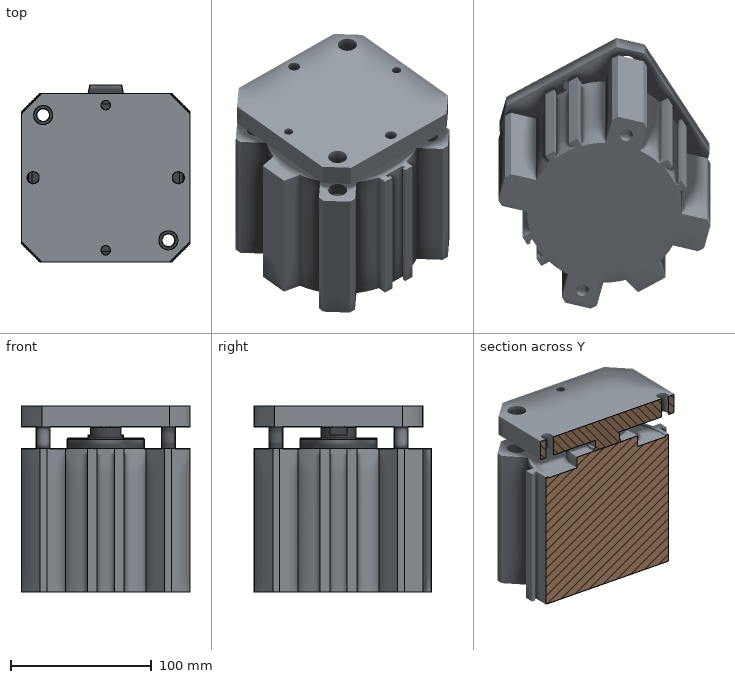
import cadquery as cq

WIDTH = 120.0
HALF = WIDTH / 2
HOUSING_HEIGHT = 102.0
TOTAL_HEIGHT = 132.5
PLATE_THICKNESS = 15.0
PLATE_BOTTOM = TOTAL_HEIGHT - PLATE_THICKNESS

BARREL_RADIUS = 55.0
CORNER_BAR_WIDTH = 25.7
HOUSING_CHAMFER = 13.2
RAIL_WIDTH = 26.2
SLOT_OPENING = 12.3
SLOT_WIDTH = 16.2
LIP_THICKNESS = 2.5
RIDGE_TOP_WIDTH = 22.5
RIDGE_EDGE_WIDTH = 25.0
RIDGE_HEIGHT = 6.0
RIDGE_BASE = 50.4

RECESS_DIAMETER = 105.0
RECESS_DEPTH = 1.0
COLLAR_DIAMETER = 55.0
COLLAR_HEIGHT = 7.5
COLLAR_CHAMFER_HEIGHT = 1.2
COLLAR_CHAMFER_INSET = 0.5
COLLAR_TOP = HOUSING_HEIGHT + COLLAR_HEIGHT

CORNER_OFFSET = 44.5
SCREW_DIAMETER = 9.0
SCREW_HEAD_DIAMETER = 13.5
SCREW_HEAD_DEPTH = 9.0
PIN_DIAMETER = 10.0
SCREW_POINTS = [(-CORNER_OFFSET, CORNER_OFFSET), (CORNER_OFFSET, -CORNER_OFFSET)]
PIN_POINTS = [(-CORNER_OFFSET, -CORNER_OFFSET), (CORNER_OFFSET, CORNER_OFFSET)]

PLATE_CHAMFER = 14.6
SIDE_HOLE_OFFSET = 51.5
X_HOLE_DIAMETER = 8.5
Y_HOLE_DIAMETER = 6.6
ROD_DIAMETER = 25.0
ROD_FLATS_WIDTH = 22.0
ROD_FLATS_HEIGHT = 5.8
ROD_CHAMFER = 0.5


def cylinder(diameter, bottom, height, points=((0, 0),)):
    return cq.Workplane("XY", origin=(0, 0, bottom)).pushPoints(points).circle(diameter / 2).extrude(height)


def chamfered_square(chamfer, bottom, height):
    block = cq.Workplane("XY", origin=(0, 0, bottom)).rect(WIDTH, WIDTH).extrude(height)
    return block.edges("|Z").chamfer(chamfer)


def rail_block(width, inner_y, outer_y):
    """Full-height block, centred on X, between two distances along +Y."""
    block = cq.Workplane("XY", origin=(0, inner_y, 0)).rect(width, outer_y - inner_y, centered=(True, False))
    return block.extrude(HOUSING_HEIGHT)


def slotted_rail(angle):
    """Rail with a T-slot on the +Y side, turned by an angle about the axis.

    The flat slot floor touches the barrel circle.
    """
    rail = rail_block(RAIL_WIDTH, 0, HALF)
    rail = rail.cut(rail_block(SLOT_OPENING, BARREL_RADIUS, HALF))
    rail = rail.cut(rail_block(SLOT_WIDTH, BARREL_RADIUS, HALF - LIP_THICKNESS))
    return rail.rotate((0, 0, 0), (0, 0, 1), angle)


def ridge():
    """Tapered ridge on the +Y side, with sides that run straight down to the barrel."""
    taper = (RIDGE_EDGE_WIDTH - RIDGE_TOP_WIDTH) / RIDGE_HEIGHT
    base_width = RIDGE_EDGE_WIDTH + taper * (HALF - RIDGE_BASE)
    return (
        cq.Workplane("XY")
        .polyline(
            [
                (-base_width / 2, RIDGE_BASE),
                (base_width / 2, RIDGE_BASE),
                (RIDGE_TOP_WIDTH / 2, HALF + RIDGE_HEIGHT),
                (-RIDGE_TOP_WIDTH / 2, HALF + RIDGE_HEIGHT),
            ]
        )
        .close()
        .extrude(HOUSING_HEIGHT)
    )


def make_collar(bottom):
    """Rod collar with a steep chamfer around its top."""
    radius = COLLAR_DIAMETER / 2
    outline = [
        (0, bottom),
        (radius, bottom),
        (radius, COLLAR_TOP - COLLAR_CHAMFER_HEIGHT),
        (radius - COLLAR_CHAMFER_INSET, COLLAR_TOP),
        (0, COLLAR_TOP),
    ]
    return cq.Workplane("XZ").polyline(outline).close().revolve()


def make_housing():
    bar_length = 2 * WIDTH
    bars = cq.Workplane("XY").rect(bar_length, CORNER_BAR_WIDTH).extrude(HOUSING_HEIGHT)
    bars = bars.union(bars.rotate((0, 0, 0), (0, 0, 1), 90)).rotate((0, 0, 0), (0, 0, 1), 45)
    body = bars.intersect(chamfered_square(HOUSING_CHAMFER, 0, HOUSING_HEIGHT))

    body = body.union(cylinder(2 * BARREL_RADIUS, 0, HOUSING_HEIGHT))
    for angle in (90, 180, 270):
        body = body.union(slotted_rail(angle))
    body = body.union(ridge())

    recess_floor = HOUSING_HEIGHT - RECESS_DEPTH
    body = body.cut(cylinder(RECESS_DIAMETER, recess_floor, RECESS_DEPTH))
    body = body.union(make_collar(recess_floor))

    body = body.cut(cylinder(SCREW_DIAMETER, 0, HOUSING_HEIGHT, SCREW_POINTS))
    head_floor = HOUSING_HEIGHT - SCREW_HEAD_DEPTH
    return body.cut(cylinder(SCREW_HEAD_DIAMETER, head_floor, SCREW_HEAD_DEPTH, SCREW_POINTS))


def make_rod():
    """Rod from the collar up to the plate, with two wrench flats facing -X and +X."""
    rod = cylinder(ROD_DIAMETER, COLLAR_TOP, PLATE_BOTTOM - COLLAR_TOP).faces(">Z").chamfer(ROD_CHAMFER)
    side_centres = [(-ROD_FLATS_WIDTH, 0), (ROD_FLATS_WIDTH, 0)]
    cutters = (
        cq.Workplane("XY", origin=(0, 0, PLATE_BOTTOM - ROD_FLATS_HEIGHT))
        .pushPoints(side_centres)
        .rect(ROD_FLATS_WIDTH, ROD_DIAMETER)
        .extrude(ROD_FLATS_HEIGHT)
    )
    return rod.cut(cutters)


def make_moving_plate():
    """Plate with its rod, which rests on the collar, and guide pins, which rest on the housing."""
    plate = chamfered_square(PLATE_CHAMFER, PLATE_BOTTOM, PLATE_THICKNESS)
    x_points = [(-SIDE_HOLE_OFFSET, 0), (SIDE_HOLE_OFFSET, 0)]
    y_points = [(0, -SIDE_HOLE_OFFSET), (0, SIDE_HOLE_OFFSET)]
    for diameter, points in (
        (X_HOLE_DIAMETER, x_points),
        (Y_HOLE_DIAMETER, y_points),
        (SCREW_HEAD_DIAMETER, SCREW_POINTS),
    ):
        plate = plate.cut(cylinder(diameter, PLATE_BOTTOM, PLATE_THICKNESS, points))
    plate = plate.union(make_rod())
    return plate.union(cylinder(PIN_DIAMETER, HOUSING_HEIGHT, PLATE_BOTTOM - HOUSING_HEIGHT, PIN_POINTS))


housing = make_housing()
moving_plate = make_moving_plate()
result = cq.Compound.makeCompound([housing.solids().val(), moving_plate.solids().val()])